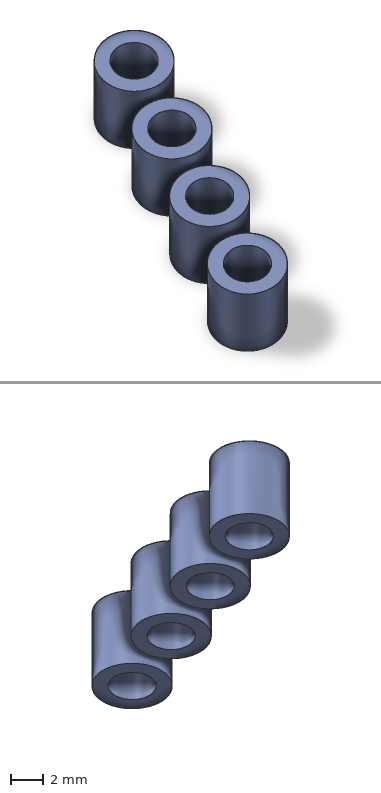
import cadquery as cq

row_length = 23.0
sleeve_count = 4
outer_diameter = 5.0
bore_diameter = 3.0
sleeve_height = 5.5

pitch = (row_length - outer_diameter) / (sleeve_count - 1)
first_center_x = (outer_diameter - row_length) / 2


def make_sleeve(center_x):
    """Upright sleeve with a through bore, its base on Z = 0."""
    return (
        cq.Workplane("XY")
        .center(center_x, 0)
        .circle(outer_diameter / 2)
        .circle(bore_diameter / 2)
        .extrude(sleeve_height)
    )


sleeves = [make_sleeve(first_center_x + index * pitch) for index in range(sleeve_count)]

result = cq.Compound.makeCompound([sleeve.val() for sleeve in sleeves])